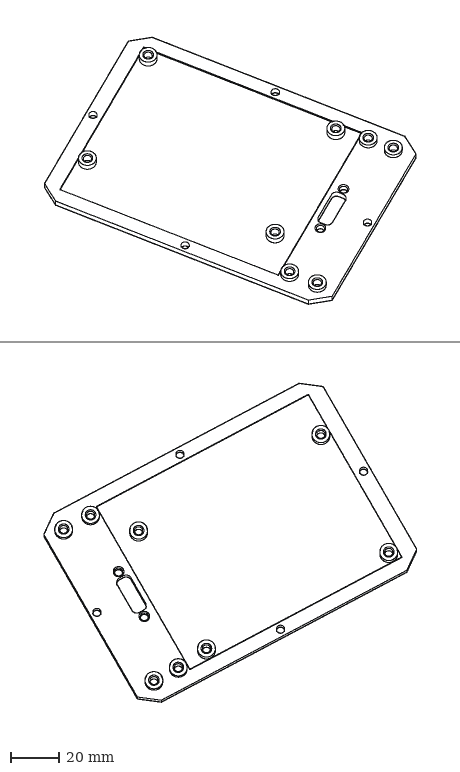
import cadquery as cq

PLATE_LENGTH = 131.8
PLATE_WIDTH = 92.0
PLATE_THICKNESS = 3.0
CORNER_CUT_X = 8.0
CORNER_CUT_Y = 6.0

RECESS_LENGTH = 100.0
RECESS_WIDTH = 80.0
RECESS_DEPTH = 0.8
RECESS_END_MARGIN = 7.0
RECESS_CENTER_X = -PLATE_LENGTH / 2 + RECESS_END_MARGIN + RECESS_LENGTH / 2

BOSS_DIAMETER = 7.4
BOSS_HEIGHT = 2.0
BOSS_HOLE_DEPTH = 4.0

RECESS_BOSS_INSET = 4.0
RECESS_BOSS_SPACING_X = 86.0
RECESS_BOSS_SPACING_Y = 58.0

SIDE_BOSS_Y = 37.5
INNER_BOSS_X = 45.2
OUTER_BOSS_BACK_X = 56.7
OUTER_BOSS_FRONT_X = 57.9

HOLE_DIAMETER = 3.4
COUNTERSINK_DIAMETER = 4.4
MOUNTING_HOLE_INSET = 3.0

CONNECTOR_X = 46.6
CONNECTOR_WIDTH = 6.4
CONNECTOR_LENGTH = 17.0
CONNECTOR_CORNER_RADIUS = 2.25
CONNECTOR_SCREW_OFFSET = 11.0

FLANGE_LENGTH = 60.0
FLANGE_WIDTH = 40.0
FLANGE_THICKNESS = 1.0
NECK_LENGTH = 40.0
NECK_WIDTH = 35.0
NECK_HEIGHT = 1.0


def make_plate():
    """Flat plate with its four corners cut off at an angle."""
    half_length = PLATE_LENGTH / 2
    half_width = PLATE_WIDTH / 2
    cut_x = half_length - CORNER_CUT_X
    cut_y = half_width - CORNER_CUT_Y
    outline = [
        (-cut_x, -half_width),
        (cut_x, -half_width),
        (half_length, -cut_y),
        (half_length, cut_y),
        (cut_x, half_width),
        (-cut_x, half_width),
        (-half_length, cut_y),
        (-half_length, -cut_y),
    ]
    return cq.Workplane("XY").polyline(outline).close().extrude(-PLATE_THICKNESS)


def make_recess():
    """Volume removed for the recess in the top face."""
    return (
        cq.Workplane("XY")
        .center(RECESS_CENTER_X, 0)
        .rect(RECESS_LENGTH, RECESS_WIDTH)
        .extrude(-RECESS_DEPTH)
    )


def make_foot():
    """Neck and flange; both share the same +Y edge."""
    neck_center_y = (FLANGE_WIDTH - NECK_WIDTH) / 2
    neck = (
        cq.Workplane("XY", origin=(0, neck_center_y, -PLATE_THICKNESS))
        .rect(NECK_LENGTH, NECK_WIDTH)
        .extrude(-NECK_HEIGHT)
    )
    flange = (
        cq.Workplane("XY", origin=(0, 0, -PLATE_THICKNESS - NECK_HEIGHT))
        .rect(FLANGE_LENGTH, FLANGE_WIDTH)
        .extrude(-FLANGE_THICKNESS)
    )
    return neck.union(flange)


def find_boss_points():
    """Centres of the recess bosses followed by those of the side bosses."""
    first_x = RECESS_CENTER_X - RECESS_LENGTH / 2 + RECESS_BOSS_INSET
    first_y = RECESS_WIDTH / 2 - RECESS_BOSS_INSET
    recess_points = [
        (x, y)
        for x in (first_x, first_x + RECESS_BOSS_SPACING_X)
        for y in (first_y, first_y - RECESS_BOSS_SPACING_Y)
    ]
    side_points = [
        (INNER_BOSS_X, SIDE_BOSS_Y),
        (OUTER_BOSS_BACK_X, SIDE_BOSS_Y),
        (INNER_BOSS_X, -SIDE_BOSS_Y),
        (OUTER_BOSS_FRONT_X, -SIDE_BOSS_Y),
    ]
    return recess_points + side_points


def make_bosses(points):
    """Round bosses rising from the recess floor level to the boss height."""
    return (
        cq.Workplane("XY", origin=(0, 0, -RECESS_DEPTH))
        .pushPoints(points)
        .circle(BOSS_DIAMETER / 2)
        .extrude(RECESS_DEPTH + BOSS_HEIGHT)
    )


def make_countersunk_holes(points, top_z, depth):
    """Volume of straight holes with a 45 degree countersink at the top."""
    countersink_depth = (COUNTERSINK_DIAMETER - HOLE_DIAMETER) / 2
    profile = [
        (0, 0),
        (COUNTERSINK_DIAMETER / 2, 0),
        (HOLE_DIAMETER / 2, -countersink_depth),
        (HOLE_DIAMETER / 2, -depth),
        (0, -depth),
    ]
    hole = cq.Workplane("XZ").polyline(profile).close().revolve(360, (0, 0), (0, 1)).val()
    return (
        cq.Workplane("XY", origin=(0, 0, top_z))
        .pushPoints(points)
        .eachpoint(hole, combine=False)
    )


def make_mounting_holes():
    """Plain through holes, one at the middle of each plate side."""
    hole_x = PLATE_LENGTH / 2 - MOUNTING_HOLE_INSET
    hole_y = PLATE_WIDTH / 2 - MOUNTING_HOLE_INSET
    return (
        cq.Workplane("XY")
        .pushPoints([(hole_x, 0), (-hole_x, 0), (0, hole_y), (0, -hole_y)])
        .circle(HOLE_DIAMETER / 2)
        .extrude(-PLATE_THICKNESS)
    )


def make_connector_opening():
    """Rounded rectangular opening through the plate."""
    return (
        cq.Workplane("XY")
        .center(CONNECTOR_X, 0)
        .rect(CONNECTOR_WIDTH, CONNECTOR_LENGTH)
        .extrude(-PLATE_THICKNESS)
        .edges("|Z")
        .fillet(CONNECTOR_CORNER_RADIUS)
    )


boss_points = find_boss_points()
screw_points = [(CONNECTOR_X, side * CONNECTOR_SCREW_OFFSET) for side in (-1, 1)]

result = (
    make_plate()
    .cut(make_recess())
    .union(make_foot())
    .union(make_bosses(boss_points))
    .cut(make_countersunk_holes(boss_points, BOSS_HEIGHT, BOSS_HOLE_DEPTH))
    .cut(make_countersunk_holes(screw_points, 0, PLATE_THICKNESS))
    .cut(make_mounting_holes())
    .cut(make_connector_opening())
)